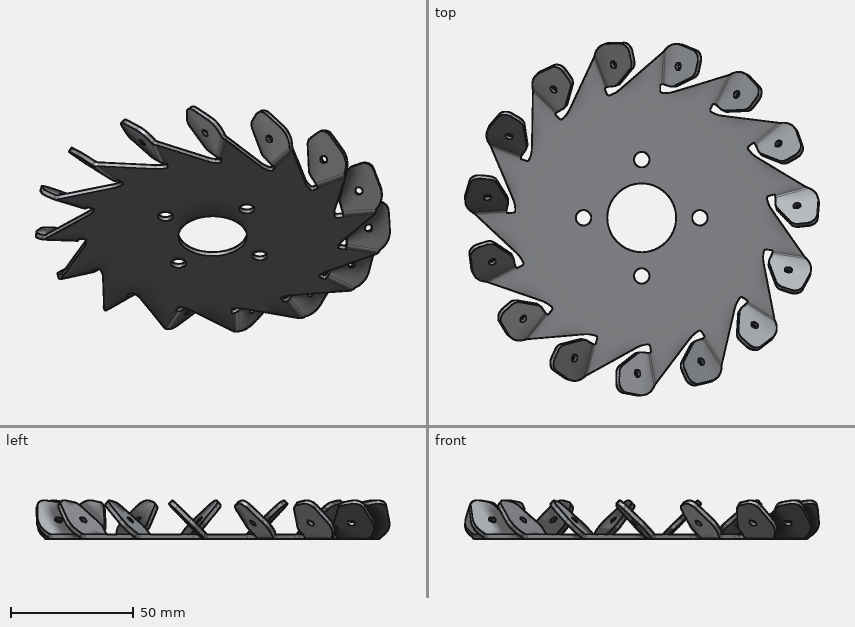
import cadquery as cq
import math

thickness = 2.0
bore_diameter = 28.0
bolt_hole_diameter = 6.2
bolt_count = 4
bolt_circle_radius = 23.75

tooth_count = 15
tooth_pitch = 360 / tooth_count
first_tooth_angle = 3.6
tooth_tip_x = -67.95
tooth_back_angle = 46.7

fold_y = 5.85
fold_angle = 45.0
fold_inner_radius = 1.0
fold_outer_radius = fold_inner_radius + thickness
fold_axis_z = thickness + fold_inner_radius

fold_inner_x = -54.8
slot_wall_x = -51.35
slot_floor_y = 5.4
slot_outer_corner_radius = 0.4
slot_inner_corner_radius = 0.9
slot_wall_radius = 10.0

blade_outer_x = -68.85
heel_corner = (-72.53, 3.8)
heel_radius = 9.0
top_outer_corner = (-68.25, 20.13)
top_inner_corner = (-58.85, 17.77)
inner_elbow = (-53.83, 4.9)
blade_corner_radius = 4.0
blade_hole_diameter = 3.0
blade_hole_center = (-62.35, 8.0)


def rotated(point, degrees):
    angle = math.radians(degrees)
    x, y = point
    return (
        x * math.cos(angle) - y * math.sin(angle),
        x * math.sin(angle) + y * math.cos(angle),
    )


def toward(start, end, distance):
    """Point at a distance from start on the line to end."""
    ratio = distance / math.dist(start, end)
    return (
        start[0] + (end[0] - start[0]) * ratio,
        start[1] + (end[1] - start[1]) * ratio,
    )


def rounded_outline(plane, corners):
    """Closed outline through (point, radius) corners; a zero radius leaves a sharp corner."""
    first_point = corners[0][0]
    outline = cq.Workplane(plane).moveTo(*first_point)
    for index in range(1, len(corners)):
        corner, radius = corners[index]
        if radius == 0:
            outline = outline.lineTo(*corner)
            continue
        before = corners[index - 1][0]
        after = corners[(index + 1) % len(corners)][0]
        angle_before = math.atan2(before[1] - corner[1], before[0] - corner[0])
        angle_after = math.atan2(after[1] - corner[1], after[0] - corner[0])
        half_angle = abs(math.remainder(angle_after - angle_before, 2 * math.pi)) / 2
        tangent_length = radius / math.tan(half_angle)
        arc_start = toward(corner, before, tangent_length)
        arc_end = toward(corner, after, tangent_length)
        chord_middle = ((arc_start[0] + arc_end[0]) / 2, (arc_start[1] + arc_end[1]) / 2)
        arc_middle = toward(corner, chord_middle, radius / math.sin(half_angle) - radius)
        outline = outline.lineTo(*arc_start).threePointArc(arc_middle, arc_end)
    return outline.close()


def tooth_corners():
    """Disc outline from one tooth tip, along its fold and slot, to the back edge of the next tooth."""
    next_tip = rotated((tooth_tip_x, fold_y), -tooth_pitch)
    next_back_slope = math.tan(math.radians(tooth_back_angle + tooth_pitch))
    wall_top_y = next_tip[1] - (slot_wall_x - next_tip[0]) * next_back_slope
    return [
        ((tooth_tip_x, fold_y), 0),
        ((fold_inner_x, fold_y), 0),
        ((fold_inner_x, slot_floor_y), slot_outer_corner_radius),
        ((slot_wall_x, slot_floor_y), slot_inner_corner_radius),
        ((slot_wall_x, wall_top_y), slot_wall_radius),
    ]


def make_disc():
    corners = []
    for index in range(tooth_count):
        turn = first_tooth_angle - index * tooth_pitch
        corners += [(rotated(point, turn), radius) for point, radius in tooth_corners()]
    disc = rounded_outline("XY", corners).extrude(thickness)
    disc = disc.faces(">Z").workplane(origin=(0, 0, 0)).hole(bore_diameter)
    return (
        disc.faces(">Z")
        .workplane(origin=(0, 0, 0))
        .polarArray(bolt_circle_radius, 0, 360, bolt_count)
        .hole(bolt_hole_diameter)
    )


def fold_section_plane(angle):
    """Plane across the sheet at an angle round the fold; its local Y runs outward from the fold axis."""
    turn = math.radians(angle)
    return cq.Plane(
        origin=(0, fold_y, fold_axis_z),
        xDir=(1, 0, 0),
        normal=(0, math.cos(turn), math.sin(turn)),
    )


def make_fold():
    """Bent strip whose outer end runs from the tooth tip to the foot of the blade."""
    ring = (
        cq.Workplane("YZ", origin=(0, fold_y, fold_axis_z))
        .circle(fold_outer_radius)
        .circle(fold_inner_radius)
        .extrude(blade_outer_x)
    )
    near_radius = fold_inner_radius / 2
    far_radius = fold_outer_radius * 1.5
    sections = []
    for angle, outer_x in ((0, tooth_tip_x), (fold_angle, blade_outer_x)):
        section = cq.Workplane(fold_section_plane(angle)).polyline(
            [
                (outer_x, near_radius),
                (fold_inner_x, near_radius),
                (fold_inner_x, far_radius),
                (outer_x, far_radius),
            ]
        )
        sections.append(section.close().val())
    wedge = cq.Solid.makeLoft(sections, True)
    return ring.intersect(cq.Workplane(wedge))


def make_blade():
    turn = math.radians(fold_angle)
    plane = cq.Plane(
        origin=(
            0,
            fold_y + fold_inner_radius * math.sin(turn),
            fold_axis_z - fold_inner_radius * math.cos(turn),
        ),
        xDir=(1, 0, 0),
        normal=(0, -math.sin(turn), math.cos(turn)),
    )
    corners = [
        ((blade_outer_x, 0), 0),
        (heel_corner, heel_radius),
        (top_outer_corner, blade_corner_radius),
        (top_inner_corner, blade_corner_radius),
        (inner_elbow, blade_corner_radius),
        ((fold_inner_x, 0), 0),
    ]
    blade = rounded_outline(plane, corners).extrude(-thickness)
    hole = (
        cq.Workplane(plane)
        .center(*blade_hole_center)
        .circle(blade_hole_diameter / 2)
        .extrude(-thickness)
    )
    return blade.cut(hole)


folded_blade = make_fold().union(make_blade())
result = make_disc()
for tooth in range(tooth_count):
    blade_angle = first_tooth_angle + tooth * tooth_pitch
    result = result.union(folded_blade.rotate((0, 0, 0), (0, 0, 1), blade_angle))